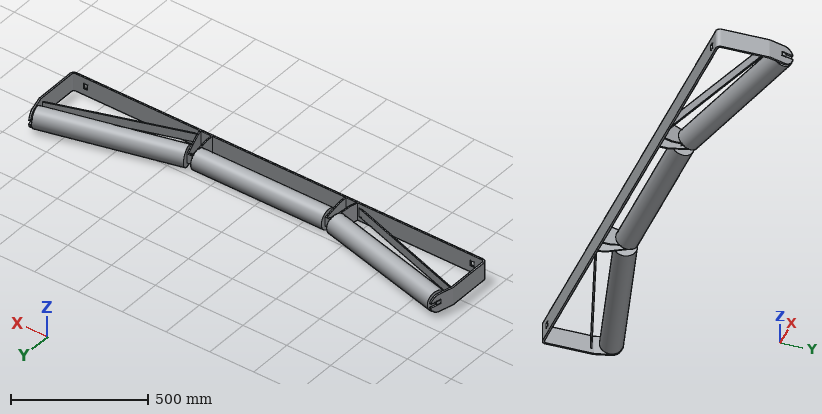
import cadquery as cq
import math

overall_length = 1890.0
frame_height = 80.0
plate_thickness = 8.0
bend_radius = 17.0
end_bend_y = 205.0
mount_hole_width = 17.0
mount_hole_height = 23.0
mount_hole_x = 883.0

trough_angle = 15.0
forward_tilt = 0.7
roller_diameter = 89.0
roller_length = 597.0
tongue_width = 17.0
tongue_depth = 19.0
end_gap = 4.0
centre_roller_y = 100.0
wing_inner_x = 338.0
wing_inner_y = 108.0
inner_axis_z = -5.0

bracket_thickness = 5.0
bracket_top_y = 127.0
bracket_taper_y = 40.0
bracket_top_width = 42.0

brace_thickness = 5.0
brace_height = 38.0
brace_foot_x = 367.0
brace_top_y = 195.0

half_length = overall_length / 2
half_height = frame_height / 2
tongue_length = end_gap + plate_thickness
trough_radians = math.radians(trough_angle)
trough_sin = math.sin(trough_radians)
trough_cos = math.cos(trough_radians)


def mirrored(body):
    """The left-hand copy of a right-hand body."""
    return body.mirror("YZ")


def roller():
    """Roller along +X with its inner face at the origin and a flatted shaft end on each face."""
    drum = cq.Workplane("YZ").circle(roller_diameter / 2).extrude(roller_length)
    shaft_length = roller_length + 2 * tongue_length
    shaft = cq.Workplane("XY").box(shaft_length, tongue_depth, tongue_width)
    return drum.union(shaft.translate((roller_length / 2, 0, 0)))


def on_right_wing(body):
    """Move a body lying along +X from the origin onto the right wing roller's axis."""
    tilted = body.rotate((0, 0, 0), (0, 1, 0), -forward_tilt)
    raised = tilted.rotate((0, 0, 0), (0, 0, 1), trough_angle)
    return raised.translate((wing_inner_x, wing_inner_y, inner_axis_z))


def bent_strip():
    """Base strip and the upright parts of both ends, with rounded corners and mounting holes."""
    inner_length = overall_length - 2 * plate_thickness
    outside = (
        cq.Workplane("XY")
        .box(overall_length, end_bend_y, frame_height)
        .translate((0, end_bend_y / 2, 0))
        .edges("|Z and <Y")
        .fillet(bend_radius)
    )
    inside = (
        cq.Workplane("XY")
        .box(inner_length, end_bend_y, frame_height)
        .translate((0, end_bend_y / 2 + plate_thickness, 0))
        .edges("|Z and <Y")
        .fillet(bend_radius - plate_thickness)
    )
    holes = (
        cq.Workplane("XZ")
        .pushPoints([(-mount_hole_x, 0), (mount_hole_x, 0)])
        .rect(mount_hole_width, mount_hole_height)
        .extrude(-plate_thickness)
    )
    return outside.cut(inside).cut(holes)


def right_end_plate():
    """Leaning top of the right end, rounded about the shaft, with a slot open at the tip."""
    axis_rise = (half_length - wing_inner_x) * trough_sin - (end_bend_y - wing_inner_y) * trough_cos
    plate = (
        cq.Workplane("YZ")
        .moveTo(0, -half_height)
        .lineTo(axis_rise, -half_height)
        .threePointArc((axis_rise + half_height, 0), (axis_rise, half_height))
        .lineTo(0, half_height)
        .close()
        .extrude(-plate_thickness)
        .rotate((0, 0, 0), (0, 0, 1), trough_angle)
        .translate((half_length, end_bend_y, 0))
    )
    slot_height = tongue_depth / 2 + frame_height
    slot = (
        cq.Workplane("XY")
        .box(4 * tongue_length, slot_height, tongue_width)
        .translate((roller_length + tongue_length, (slot_height - tongue_depth) / 2, 0))
    )
    return plate.cut(on_right_wing(slot))


def right_bracket():
    """Strap with an upright leg at the centre roller and a leg leaning with the wing roller."""
    upright_x = roller_length / 2 + end_gap
    upright_inner_x = upright_x + bracket_thickness
    inner_top_y = bracket_top_y - bracket_thickness

    def leaning_x(y, gap):
        """X at height y of a plane square to the wing roller, at a gap from its inner face."""
        return wing_inner_x - gap / trough_cos - (y - wing_inner_y) * math.tan(trough_radians)

    far_gap = end_gap + bracket_thickness
    strap = (
        cq.Workplane("XY")
        .workplane(offset=-half_height)
        .moveTo(upright_x, plate_thickness)
        .lineTo(upright_x, bracket_top_y)
        .lineTo(leaning_x(bracket_top_y, end_gap), bracket_top_y)
        .lineTo(leaning_x(plate_thickness, end_gap), plate_thickness)
        .lineTo(leaning_x(plate_thickness, far_gap), plate_thickness)
        .lineTo(leaning_x(inner_top_y, far_gap), inner_top_y)
        .lineTo(upright_inner_x, inner_top_y)
        .lineTo(upright_inner_x, plate_thickness)
        .close()
        .extrude(frame_height)
    )
    half_top = bracket_top_width / 2
    tapered_side = (
        cq.Workplane("YZ")
        .moveTo(0, -half_height)
        .lineTo(bracket_taper_y, -half_height)
        .lineTo(bracket_top_y, -half_top)
        .lineTo(bracket_top_y, half_top)
        .lineTo(bracket_taper_y, half_height)
        .lineTo(0, half_height)
        .close()
        .extrude(half_length)
    )
    return strap.intersect(tapered_side)


def right_brace():
    """Flat diagonal from the strip up to the inside of the right end."""
    foot_y = plate_thickness
    end_x = half_length - plate_thickness
    slope = math.atan2(brace_top_y - foot_y, end_x - brace_foot_x)
    return (
        cq.Workplane("XY")
        .workplane(offset=-brace_height / 2)
        .moveTo(brace_foot_x, foot_y)
        .lineTo(brace_foot_x + brace_thickness / math.sin(slope), foot_y)
        .lineTo(end_x, brace_top_y - brace_thickness / math.cos(slope))
        .lineTo(end_x, brace_top_y)
        .close()
        .extrude(brace_height)
    )


centre_roller = roller().translate((-roller_length / 2, centre_roller_y, inner_axis_z))
right_roller = on_right_wing(roller())
rollers = [centre_roller, right_roller, mirrored(right_roller)]

frame = bent_strip()
for piece in (right_end_plate(), right_bracket(), right_brace()):
    frame = frame.union(piece).union(mirrored(piece))

for body in rollers:
    frame = frame.cut(body)

result = cq.Compound.makeCompound([frame.val(), *[body.val() for body in rollers]])